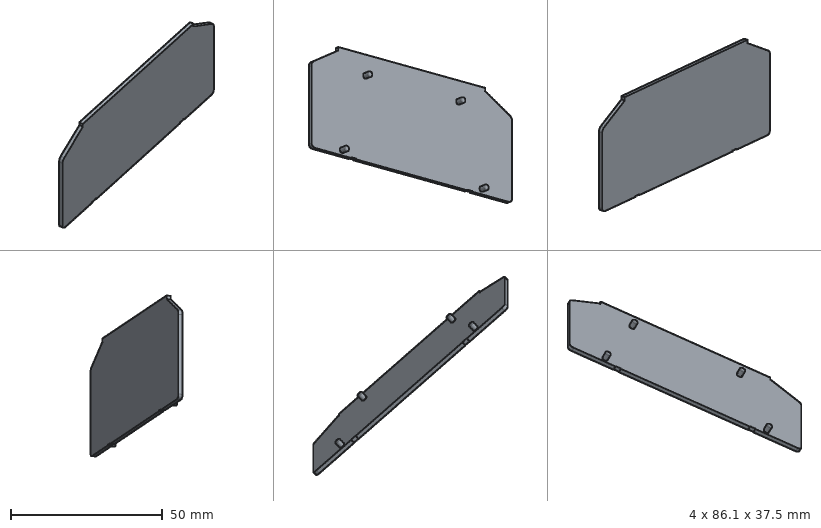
import cadquery as cq
import math

length = 86.1
height = 37.5
overall_depth = 4.0
thickness = 1.5

top_edge_length = 63.0
step_height = 1.2
shoulder_angle = 30.0
shoulder_radius = 2.0
bottom_corner_radius = 1.5

notch_offset = 25.0
notch_width = 2.0
notch_depth = 0.3

pin_diameter = 2.0
pin_length = overall_depth - thickness
pin_tip_radius = 0.2
upper_pin_offset = 20.0
lower_pin_offset = 30.0
lower_pin_height = 1.8
pin_row_spacing = 28.2


def make_plate():
    half_length = length / 2
    half_top = top_edge_length / 2
    step_bottom = height - step_height
    slope_drop = (half_length - half_top) * math.tan(math.radians(shoulder_angle))
    slope_bottom = step_bottom - slope_drop
    plate = (
        cq.Workplane("YZ")
        .moveTo(-half_length, 0)
        .lineTo(half_length, 0)
        .lineTo(half_length, slope_bottom)
        .lineTo(half_top, step_bottom)
        .lineTo(half_top, height)
        .lineTo(-half_top, height)
        .lineTo(-half_top, step_bottom)
        .lineTo(-half_length, slope_bottom)
        .close()
        .extrude(thickness)
    )
    end_edges = plate.faces("<Y or >Y").edges("|X")
    plate = end_edges.edges("<Z").fillet(bottom_corner_radius)
    return plate.faces("<Y or >Y").edges("|X").edges(">Z").fillet(shoulder_radius)


def cut_bottom_notches(plate):
    notches = (
        cq.Workplane("YZ")
        .pushPoints([(-notch_offset, 0), (notch_offset, 0)])
        .rect(notch_width, 2 * notch_depth)
        .extrude(thickness)
    )
    return plate.cut(notches)


def make_pins():
    upper_pin_height = lower_pin_height + pin_row_spacing
    centers = [
        (side * offset, pin_height)
        for side in (-1, 1)
        for offset, pin_height in (
            (upper_pin_offset, upper_pin_height),
            (lower_pin_offset, lower_pin_height),
        )
    ]
    return (
        cq.Workplane("YZ")
        .pushPoints(centers)
        .circle(pin_diameter / 2)
        .extrude(-pin_length)
        .faces("<X")
        .edges()
        .fillet(pin_tip_radius)
    )


result = cut_bottom_notches(make_plate()).union(make_pins())